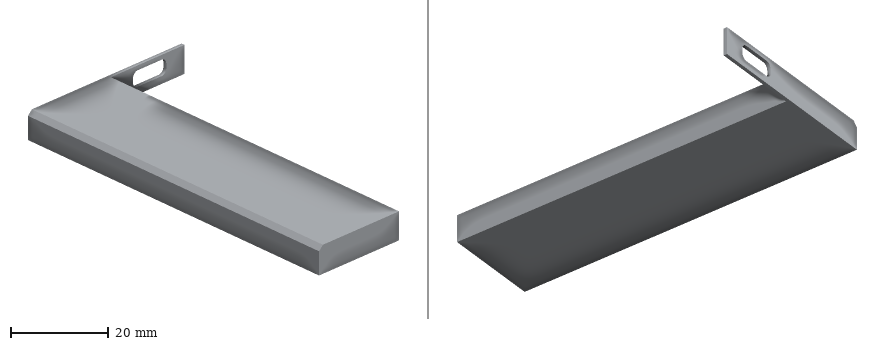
import cadquery as cq

length = 85.8
total_depth = 44.0
height = 6.7

bar_depth = 22.9
tab_thickness = 0.9
edge_chamfer = 1.1

window_length = 9.5
window_height = 3.8
window_corner_radius = 1.4
window_back_margin = 5.2
window_top_margin = 1.1


def make_bar():
    """Solid bar with its upper front edge bevelled."""
    bar = cq.Workplane("XY").box(length, bar_depth, height, centered=False)
    return bar.faces("<Y").edges(">Z").chamfer(edge_chamfer)


def make_tab():
    """Thin tab that continues the -X end of the bar backwards."""
    tab_length = total_depth - bar_depth
    tab = cq.Workplane("XY").box(tab_thickness, tab_length, height, centered=False)
    return tab.translate((0, bar_depth, 0))


def make_window():
    """Cutter for the rounded window, running through the tab along X."""
    window = cq.Workplane("XY").box(tab_thickness, window_length, window_height, centered=False)
    window = window.edges("|X").fillet(window_corner_radius)
    front = total_depth - window_back_margin - window_length
    bottom = height - window_top_margin - window_height
    return window.translate((0, front, bottom))


result = make_bar().union(make_tab()).cut(make_window())